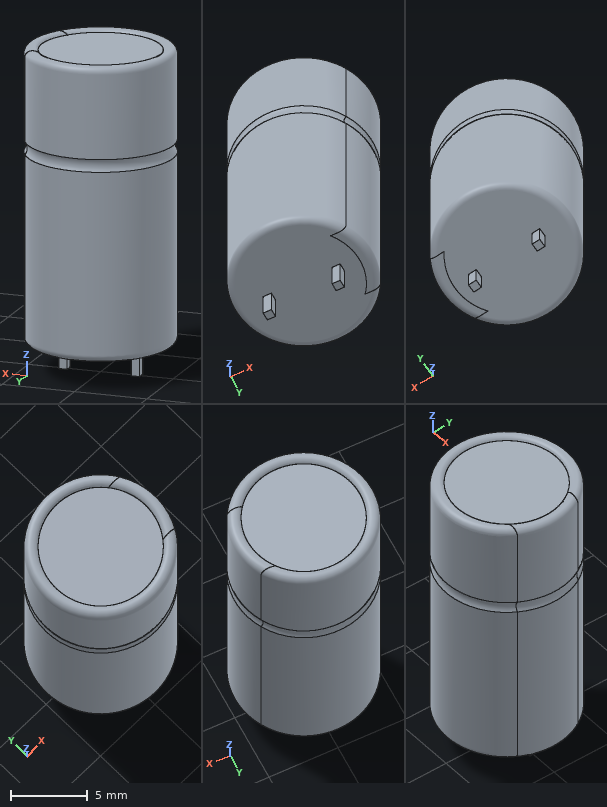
import cadquery as cq
import math

TOTAL_HEIGHT = 22.0
CAN_DIAMETER = 10.0
LEAD_LENGTH = 2.0

RIM_CENTRE_DIAMETER = 9.0
GROOVE_WIDTH = 0.85
GROOVE_DEPTH = 0.13
GROOVE_HEIGHT_RATIO = 2 / 3

DISC_DIAMETER = 8.15
DISC_THICKNESS = 0.22
STRIPE_WIDTH = CAN_DIAMETER / 2
LEAD_WIDTH = 0.6
LEAD_PITCH = CAN_DIAMETER / 2

CAN_HEIGHT = TOTAL_HEIGHT - LEAD_LENGTH
CAN_RADIUS = CAN_DIAMETER / 2
RIM_CENTRE_RADIUS = RIM_CENTRE_DIAMETER / 2
EDGE_RADIUS = CAN_RADIUS - RIM_CENTRE_RADIUS
DISC_RADIUS = DISC_DIAMETER / 2
GROOVE_CENTRE_Z = CAN_HEIGHT * GROOVE_HEIGHT_RATIO

RIM_CENTRE_Z = CAN_HEIGHT - EDGE_RADIUS
DISC_TOP_Z = RIM_CENTRE_Z + math.sqrt(EDGE_RADIUS**2 - (RIM_CENTRE_RADIUS - DISC_RADIUS) ** 2)
DISC_BOTTOM_Z = DISC_TOP_Z - DISC_THICKNESS


def make_can_blank():
    """Revolved can with a rounded foot, a crimp groove, a rolled rim and a seat for the disc."""
    diagonal = EDGE_RADIUS * math.sqrt(0.5)
    return (
        cq.Workplane("XZ")
        .lineTo(RIM_CENTRE_RADIUS, 0)
        .threePointArc(
            (RIM_CENTRE_RADIUS + diagonal, EDGE_RADIUS - diagonal),
            (CAN_RADIUS, EDGE_RADIUS),
        )
        .lineTo(CAN_RADIUS, GROOVE_CENTRE_Z - GROOVE_WIDTH / 2)
        .threePointArc(
            (CAN_RADIUS - GROOVE_DEPTH, GROOVE_CENTRE_Z),
            (CAN_RADIUS, GROOVE_CENTRE_Z + GROOVE_WIDTH / 2),
        )
        .lineTo(CAN_RADIUS, RIM_CENTRE_Z)
        .threePointArc((RIM_CENTRE_RADIUS, CAN_HEIGHT), (DISC_RADIUS, DISC_TOP_Z))
        .lineTo(DISC_RADIUS, DISC_BOTTOM_Z)
        .lineTo(0, DISC_BOTTOM_Z)
        .close()
        .revolve(360, (0, 0), (0, 1))
    )


def make_stripe_region():
    """Full-height slab on the +X side, limited inwards by the disc radius."""
    slab = cq.Workplane("XY").box(CAN_DIAMETER, STRIPE_WIDTH, CAN_HEIGHT, centered=(False, True, False))
    core = cq.Workplane("XY").circle(DISC_RADIUS).extrude(CAN_HEIGHT)
    return slab.cut(core)


def make_disc():
    """Flat end disc seated inside the rim."""
    return cq.Workplane("XY").workplane(offset=DISC_BOTTOM_Z).circle(DISC_RADIUS).extrude(DISC_THICKNESS)


def make_lead(x):
    """Square lead hanging from the underside of the can."""
    return cq.Workplane("XY").center(x, 0).rect(LEAD_WIDTH, LEAD_WIDTH).extrude(-LEAD_LENGTH)


can_blank = make_can_blank()
stripe_region = make_stripe_region()
can = can_blank.cut(stripe_region).solids()
stripe = can_blank.intersect(stripe_region).solids()
disc = make_disc()
leads = [make_lead(side * LEAD_PITCH / 2) for side in (-1, 1)]

result = cq.Compound.makeCompound(
    [can.val(), stripe.val(), disc.val(), *[lead.val() for lead in leads]]
)